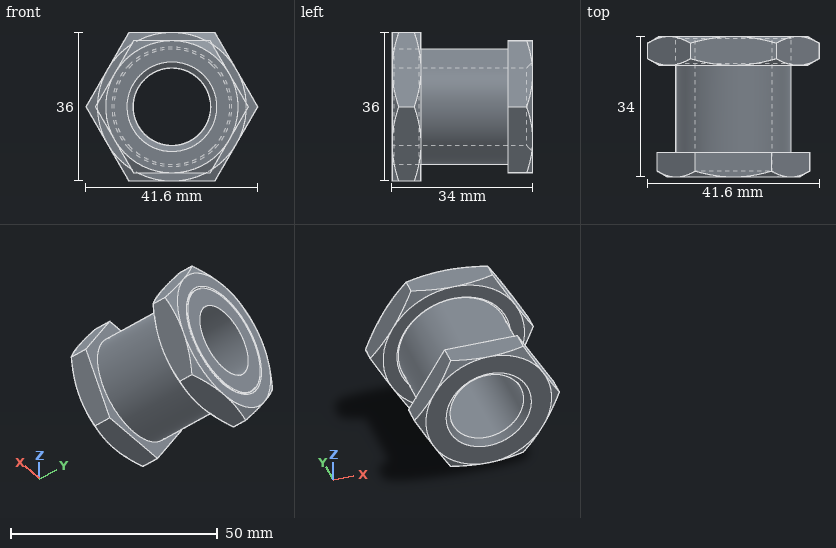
import cadquery as cq
import math

total_length = 34.0
front_y = -total_length / 2
back_y = total_length / 2

head_across_flats = 32.0
head_thickness = 6.0
shank_diameter = 27.98
bore_diameter = 18.7
bore_mouth_diameter = 21.7
bore_mouth_depth = (bore_mouth_diameter - bore_diameter) / 2

nut_across_corners = 41.55
nut_across_flats = nut_across_corners * math.cos(math.radians(30))
nut_thickness = 7.0
nut_mouth_chamfer = 0.5

corner_chamfer_angle = 30.0


def cylinder_along_y(diameter, start_y, length):
    """Solid cylinder on the Y axis, growing towards +Y."""
    return cq.Workplane("XZ", origin=(0, start_y, 0)).circle(diameter / 2).extrude(-length)


def hexagon_along_y(across_flats, start_y, length):
    """Hexagonal prism with corners on the X axis, growing towards +Y."""
    across_corners = across_flats / math.cos(math.radians(30))
    return cq.Workplane("XZ", origin=(0, start_y, 0)).polygon(6, across_corners).extrude(-length)


def corner_cone(across_flats, face_y, inward):
    """Cone frustum that rounds hexagon corners at one face; inward is the signed depth along Y."""
    face_radius = across_flats / 2
    depth = abs(inward)
    wide_radius = face_radius + depth / math.tan(math.radians(corner_chamfer_angle))
    direction = cq.Vector(0, math.copysign(1, inward), 0)
    cone = cq.Solid.makeCone(face_radius, wide_radius, depth, cq.Vector(0, face_y, 0), direction)
    return cq.Workplane(cone)


def mouth_cone(face_diameter, inner_diameter, face_y, inward):
    """Conical cutter that widens a hole at one face; inward is the signed depth along Y."""
    direction = cq.Vector(0, math.copysign(1, inward), 0)
    cone = cq.Solid.makeCone(
        face_diameter / 2, inner_diameter / 2, abs(inward), cq.Vector(0, face_y, 0), direction
    )
    return cq.Workplane(cone)


def make_body():
    """Headed bushing with a through bore that is chamfered at the head."""
    head = hexagon_along_y(head_across_flats, front_y, head_thickness)
    head = head.intersect(corner_cone(head_across_flats, front_y, head_thickness))
    shank = cylinder_along_y(shank_diameter, front_y + head_thickness, total_length - head_thickness)
    bore = cylinder_along_y(bore_diameter, front_y, total_length)
    bore_mouth = mouth_cone(bore_mouth_diameter, bore_diameter, front_y, bore_mouth_depth)
    return head.union(shank).cut(bore).cut(bore_mouth)


def make_nut():
    """Nut with corners chamfered on both faces and a hole chamfered at both ends."""
    nut_front_y = back_y - nut_thickness
    nut = hexagon_along_y(nut_across_flats, nut_front_y, nut_thickness)
    nut = nut.cut(cylinder_along_y(shank_diameter, nut_front_y, nut_thickness))
    mouth_diameter = shank_diameter + 2 * nut_mouth_chamfer
    for face_y, side in ((nut_front_y, 1), (back_y, -1)):
        nut = nut.intersect(corner_cone(nut_across_flats, face_y, side * nut_thickness))
        nut = nut.cut(mouth_cone(mouth_diameter, shank_diameter, face_y, side * nut_mouth_chamfer))
    return nut


body = make_body()
nut = make_nut()

result = cq.Compound.makeCompound([body.val(), nut.val()])